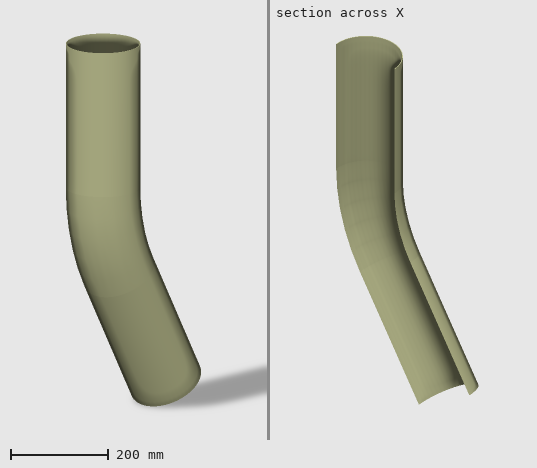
import cadquery as cq
import math

outer_diameter = 152.4
inner_diameter = 149.2
leg_length = 304.8
bend_radius = 2.5 * outer_diameter
bend_angle = 30.0


def bend_point(angle_degrees):
    """Centreline (Y, Z) point of the bend at an angle from its upper end."""
    angle = math.radians(angle_degrees)
    return (bend_radius * (1 - math.cos(angle)), -bend_radius * math.sin(angle))


def centreline():
    """Path from the upper tube end, down through the bend, to the lower end."""
    bend_end = bend_point(bend_angle)
    lower_end = (
        bend_end[0] + leg_length * math.sin(math.radians(bend_angle)),
        bend_end[1] - leg_length * math.cos(math.radians(bend_angle)),
    )
    return (
        cq.Workplane("YZ")
        .moveTo(0, leg_length)
        .lineTo(0, 0)
        .threePointArc(bend_point(bend_angle / 2), bend_end)
        .lineTo(*lower_end)
    )


tube_section = (
    cq.Workplane("XY", origin=(0, 0, leg_length))
    .circle(outer_diameter / 2)
    .circle(inner_diameter / 2)
)

result = tube_section.sweep(centreline())